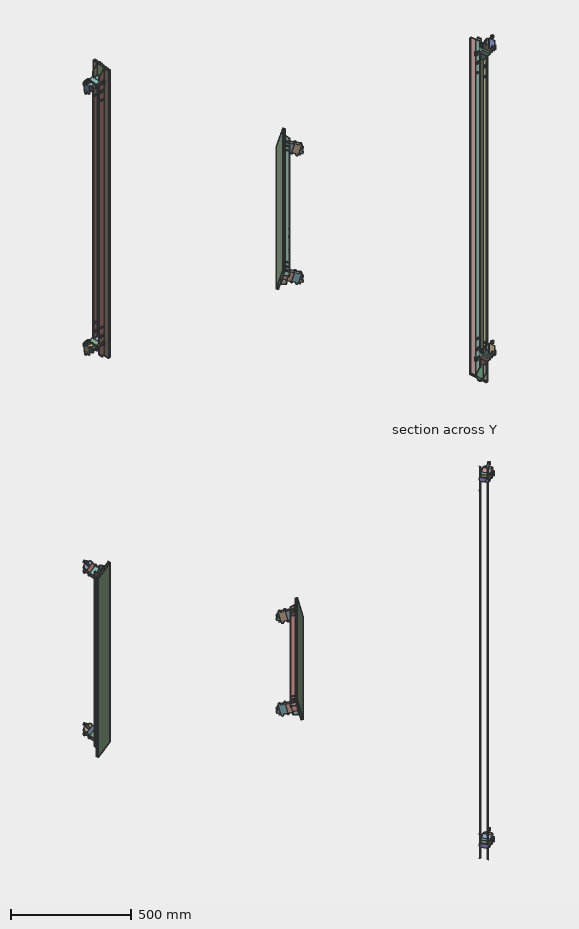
import cadquery as cq

TOTAL_LENGTH = 1880.0
TOTAL_DEPTH = 105.2

PLATE_WIDTH = 89.0
PLATE_LENGTH = 1840.0
PLATE_DEPTH = 11.5
PLATE_WALL = 2.5
PLATE_GROOVE_WIDTH = 3.5
PLATE_GROOVE_DEPTH = 1.0

CHANNEL_WIDTH = 41.0
CHANNEL_FRONT = 39.0
CHANNEL_WALL = 2.5
CHANNEL_MOUTH = 28.0
CHANNEL_HEIGHT = CHANNEL_FRONT - PLATE_DEPTH

HOLE_DEPTH_POSITION = 25.0
LARGE_SLOT_Z = 784.0
LARGE_SLOT_SIZE = (22.0, 13.0)
SMALL_SLOT_Z = 728.0
SMALL_SLOT_SIZE = (14.0, 8.0)

TONGUE_WIDTH = 22.0
TONGUE_THICKNESS = 2.0
TONGUE_INSERT = 60.0
TONGUE_CHAMFER = 4.0
FORK_WIDTH = 6.0
FORK_DEPTH = 5.0

BRACKET_Z = 836.0
BODY_WIDTH = CHANNEL_WIDTH
EAR_DIAMETER = 58.0
STRAP_THICKNESS = 1.5
STRAP_HEIGHT = 7.0
SADDLE_FRONT = 20.0
SADDLE_HEIGHT = 20.0
EAR_CHAMFER = 3.0
BLOCK_FRONT = 60.0
BLOCK_BOTTOM = -8.0
BLOCK_TOP = 23.0
ARM_BOTTOM = 3.0
ARM_TOP = 37.0
ARM_RISE_END = 74.0
COLLAR_BACKS = (56.0, 80.0)
COLLAR_THICKNESS = 10.0
FACE_BACK = 90.0
FACE_FRONT = 97.0
FACE_WIDTH = 28.0
FACE_BOTTOM = -15.0
FACE_TOP = ARM_TOP
HOOK_WIDTH = 9.0
HOOK_CENTRES = (-8.0, 51.0)
HOOK_HEAD_HEIGHT = 14.0
HOOK_TIP_HEIGHT = 10.0
HOOK_TIP_DROP = 2.0
STAY_THICKNESS = 4.0


def block(width, back, front, bottom, top):
    """Box centred on x = 0, from depth `back` to `front` and from height `bottom` to `top`."""
    return cq.Workplane("XY").box(width, front - back, top - bottom).translate(
        (0, -(back + front) / 2, (bottom + top) / 2)
    )


def side_profile(points, width):
    """Outline of (depth, height) points, extruded evenly about x = 0."""
    outline = [(-depth, height) for depth, height in points]
    return cq.Workplane("YZ").polyline(outline).close().extrude(width / 2, both=True)


def base_plate():
    half_length = PLATE_LENGTH / 2
    plate = block(PLATE_WIDTH, 0, PLATE_DEPTH, -half_length, half_length)
    inner_width = PLATE_WIDTH - 2 * PLATE_WALL
    plate = plate.cut(block(inner_width, PLATE_WALL, PLATE_DEPTH - PLATE_WALL, -half_length, half_length))
    groove_back = (PLATE_DEPTH - PLATE_GROOVE_WIDTH) / 2
    groove = block(
        2 * PLATE_GROOVE_DEPTH, groove_back, groove_back + PLATE_GROOVE_WIDTH, -half_length, half_length
    )
    for side in (-1, 1):
        plate = plate.cut(groove.translate((side * PLATE_WIDTH / 2, 0, 0)))
    return plate


def channel():
    half_length = PLATE_LENGTH / 2
    short_half_length = half_length - CHANNEL_HEIGHT
    body = side_profile(
        [
            (PLATE_DEPTH, -half_length),
            (CHANNEL_FRONT, -short_half_length),
            (CHANNEL_FRONT, short_half_length),
            (PLATE_DEPTH, half_length),
        ],
        CHANNEL_WIDTH,
    )
    inner_width = CHANNEL_WIDTH - 2 * CHANNEL_WALL
    lip_back = CHANNEL_FRONT - CHANNEL_WALL
    body = body.cut(block(inner_width, PLATE_DEPTH, lip_back, -half_length, half_length))
    body = body.cut(block(CHANNEL_MOUTH, lip_back, CHANNEL_FRONT, -half_length, half_length))
    for slot_z, (slot_length, slot_width) in (
        (LARGE_SLOT_Z, LARGE_SLOT_SIZE),
        (SMALL_SLOT_Z, SMALL_SLOT_SIZE),
    ):
        slots = (
            cq.Workplane("YZ")
            .pushPoints([(-HOLE_DEPTH_POSITION, -slot_z), (-HOLE_DEPTH_POSITION, slot_z)])
            .slot2D(slot_length, slot_width)
            .extrude(CHANNEL_WIDTH, both=True)
        )
        body = body.cut(slots)
    return body


def top_tongue():
    tip = TOTAL_LENGTH / 2
    tongue = block(
        TONGUE_WIDTH, PLATE_DEPTH - TONGUE_THICKNESS, PLATE_DEPTH, PLATE_LENGTH / 2 - TONGUE_INSERT, tip
    )
    tongue = tongue.edges("|Y and >Z").chamfer(TONGUE_CHAMFER)
    return tongue.cut(block(FORK_WIDTH, 0, CHANNEL_FRONT, tip - FORK_DEPTH, tip))


def round_ears(back, front, bottom, top):
    """Disc about the Y axis, trimmed flat below `bottom` and above `top`."""
    middle = (bottom + top) / 2
    disc = (
        cq.Workplane("XZ", origin=(0, -back, middle)).circle(EAR_DIAMETER / 2).extrude(front - back)
    )
    disc = disc.faces("|Y").edges().chamfer(EAR_CHAMFER)
    return disc.intersect(block(EAR_DIAMETER, back, front, bottom, top))


def saddle():
    """Ears on the base plate, joined through the channel by a guide block and straps on its walls."""
    half_height = SADDLE_HEIGHT / 2
    ears = round_ears(PLATE_DEPTH, SADDLE_FRONT, -half_height, half_height)
    guide = block(CHANNEL_WIDTH, PLATE_DEPTH, CHANNEL_FRONT, -half_height, half_height)
    strap_width = CHANNEL_WIDTH + 2 * STRAP_THICKNESS
    straps = block(strap_width, PLATE_DEPTH, CHANNEL_FRONT, -STRAP_HEIGHT / 2, STRAP_HEIGHT / 2)
    return ears.union(guide).union(straps)


def arm():
    root = block(BODY_WIDTH, CHANNEL_FRONT, BLOCK_FRONT, BLOCK_BOTTOM, BLOCK_TOP)
    reach = side_profile(
        [
            (BLOCK_FRONT, ARM_BOTTOM),
            (FACE_BACK, ARM_BOTTOM),
            (FACE_BACK, ARM_TOP),
            (ARM_RISE_END, ARM_TOP),
            (BLOCK_FRONT, BLOCK_TOP),
        ],
        BODY_WIDTH,
    )
    body = root.union(reach)
    for back in COLLAR_BACKS:
        body = body.union(round_ears(back, back + COLLAR_THICKNESS, ARM_BOTTOM, BLOCK_TOP))
    return body


def hook(centre):
    half_head = HOOK_HEAD_HEIGHT / 2
    tip_middle = centre - HOOK_TIP_DROP
    head = block(HOOK_WIDTH, FACE_BACK, FACE_FRONT, centre - half_head, centre + half_head)
    tip = block(
        HOOK_WIDTH,
        FACE_FRONT,
        TOTAL_DEPTH,
        tip_middle - HOOK_TIP_HEIGHT / 2,
        tip_middle + HOOK_TIP_HEIGHT / 2,
    )
    return head.union(tip)


def stay():
    """Sloping strip that carries the upper hook."""
    hook_middle = max(HOOK_CENTRES)
    return side_profile(
        [
            (ARM_RISE_END - STAY_THICKNESS, ARM_TOP - STAY_THICKNESS),
            (ARM_RISE_END + STAY_THICKNESS, ARM_TOP - STAY_THICKNESS),
            (FACE_FRONT, hook_middle - HOOK_HEAD_HEIGHT / 2),
            (FACE_BACK, hook_middle),
        ],
        HOOK_WIDTH,
    )


def bracket():
    face_plate = block(FACE_WIDTH, FACE_BACK, FACE_FRONT, FACE_BOTTOM, FACE_TOP)
    body = saddle().union(arm()).union(face_plate).union(stay())
    for centre in HOOK_CENTRES:
        body = body.union(hook(centre))
    return body


tongue = top_tongue()
result = base_plate().union(channel())
result = result.union(tongue).union(tongue.mirror("XY"))
for height in (-BRACKET_Z, BRACKET_Z):
    result = result.union(bracket().translate((0, 0, height)))